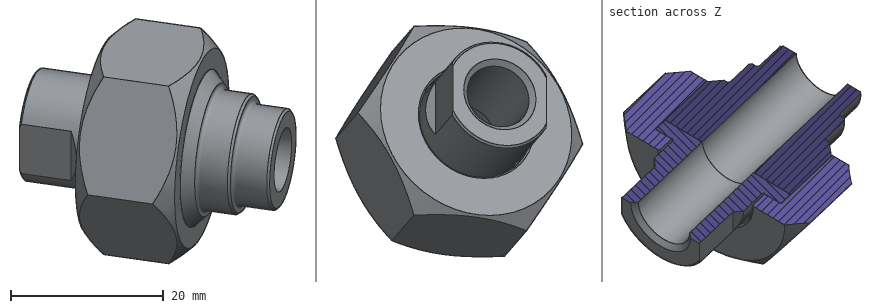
import cadquery as cq
import math

total_length = 34.0
bore_diameter = 8.57

nut_start = 9.5
nut_length = 13.5
nut_end = nut_start + nut_length
across_flats = 27.0
across_corners = across_flats / math.cos(math.pi / 6)
nut_face_diameter = 26.5
nut_corner_chamfer = (across_corners - nut_face_diameter) / 2
nut_front_wall = 2.72
nut_opening_diameter = 15.5
nut_mouth_diameter = 16.0
nut_mouth_chamfer = (nut_mouth_diameter - nut_opening_diameter) / 2
thread_diameter = 20.9

tail_diameter = 15.0
tail_end_chamfer = 0.27
tail_mouth_diameter = 10.0
tail_mouth_chamfer = (tail_mouth_diameter - bore_diameter) / 2
flat_width = 13.0
flat_length = 7.05
flat_runout = (tail_diameter - flat_width) / 2
flange_start = nut_start + nut_front_wall
flange_length = 2.05
neck_fillet = (nut_opening_diameter - tail_diameter) / 2
joint_position = flange_start + flange_length

cone_end = 24.48
cone_end_diameter = 17.68
cone_length = (thread_diameter - cone_end_diameter) / 2
shoulder_diameter = 16.0
shoulder_end = 29.05
shoulder_chamfer_length = 0.35
shoulder_chamfer_depth = 0.27
shoulder_root_fillet = 0.5
spigot_diameter = 13.5
spigot_root_fillet = 0.48
spigot_end_chamfer = 0.3


def revolve_about_x(profile):
    """Turn a profile, drawn as X against radius, about the X axis."""
    return profile.close().revolve(360, (0, 0, 0), (1, 0, 0))


def rod(start, end, diameter):
    """Cylinder along X from start to end."""
    return cq.Workplane("YZ").workplane(offset=start).circle(diameter / 2).extrude(end - start)


def make_nut():
    hexagon = (
        cq.Workplane("YZ").workplane(offset=nut_start)
        .polygon(6, across_corners).extrude(nut_length)
    )
    corner_radius = across_corners / 2
    face_radius = nut_face_diameter / 2
    chamfer_envelope = revolve_about_x(
        cq.Workplane("XY")
        .moveTo(nut_start, 0)
        .lineTo(nut_start, face_radius)
        .lineTo(nut_start + nut_corner_chamfer, corner_radius)
        .lineTo(nut_end - nut_corner_chamfer, corner_radius)
        .lineTo(nut_end, face_radius)
        .lineTo(nut_end, 0)
    )
    opening = revolve_about_x(
        cq.Workplane("XY")
        .moveTo(nut_start, 0)
        .lineTo(nut_start, nut_mouth_diameter / 2)
        .lineTo(nut_start + nut_mouth_chamfer, nut_opening_diameter / 2)
        .lineTo(flange_start, nut_opening_diameter / 2)
        .lineTo(flange_start, thread_diameter / 2)
        .lineTo(nut_end, thread_diameter / 2)
        .lineTo(nut_end, 0)
    )
    return hexagon.intersect(chamfer_envelope).cut(opening)


def cut_wrench_flats(tail):
    """Cut two opposite flats, each ending in a 45 degree runout."""
    flat_height = flat_width / 2
    tail_radius = tail_diameter / 2
    for side in (-1, 1):
        cutter = (
            cq.Workplane("XY")
            .moveTo(0, side * flat_height)
            .lineTo(flat_length, side * flat_height)
            .lineTo(flat_length + flat_runout, side * tail_radius)
            .lineTo(0, side * tail_radius)
            .close()
            .extrude(tail_radius, both=True)
        )
        tail = tail.cut(cutter)
    return tail


def make_tail():
    tail_radius = tail_diameter / 2
    mouth_radius = tail_mouth_diameter / 2
    bore_radius = bore_diameter / 2
    arc_middle = neck_fillet * math.sqrt(0.5)
    tail = revolve_about_x(
        cq.Workplane("XY")
        .moveTo(0, mouth_radius)
        .lineTo(0, tail_radius - tail_end_chamfer)
        .lineTo(tail_end_chamfer, tail_radius)
        .lineTo(flange_start - neck_fillet, tail_radius)
        .threePointArc(
            (flange_start - neck_fillet + arc_middle, tail_radius + neck_fillet - arc_middle),
            (flange_start, tail_radius + neck_fillet),
        )
        .lineTo(flange_start, thread_diameter / 2)
        .lineTo(joint_position, thread_diameter / 2)
        .lineTo(joint_position, bore_radius)
        .lineTo(tail_mouth_chamfer, bore_radius)
    )
    return cut_wrench_flats(tail)


def make_body():
    shoulder_radius = shoulder_diameter / 2
    spigot_radius = spigot_diameter / 2
    body = revolve_about_x(
        cq.Workplane("XY")
        .moveTo(joint_position, 0)
        .lineTo(joint_position, thread_diameter / 2)
        .lineTo(cone_end - cone_length, thread_diameter / 2)
        .lineTo(cone_end, cone_end_diameter / 2)
        .lineTo(cone_end, shoulder_radius + shoulder_root_fillet)
        .radiusArc((cone_end + shoulder_root_fillet, shoulder_radius), -shoulder_root_fillet)
        .lineTo(shoulder_end - shoulder_chamfer_length, shoulder_radius)
        .lineTo(shoulder_end, shoulder_radius - shoulder_chamfer_depth)
        .lineTo(shoulder_end, spigot_radius + spigot_root_fillet)
        .radiusArc((shoulder_end + spigot_root_fillet, spigot_radius), -spigot_root_fillet)
        .lineTo(total_length - spigot_end_chamfer, spigot_radius)
        .lineTo(total_length, spigot_radius - spigot_end_chamfer)
        .lineTo(total_length, 0)
    )
    return body.cut(rod(joint_position, total_length, bore_diameter))


nut = make_nut()
tail = make_tail()
body = make_body()
result = cq.Compound.makeCompound([nut.val(), tail.val(), body.val()])